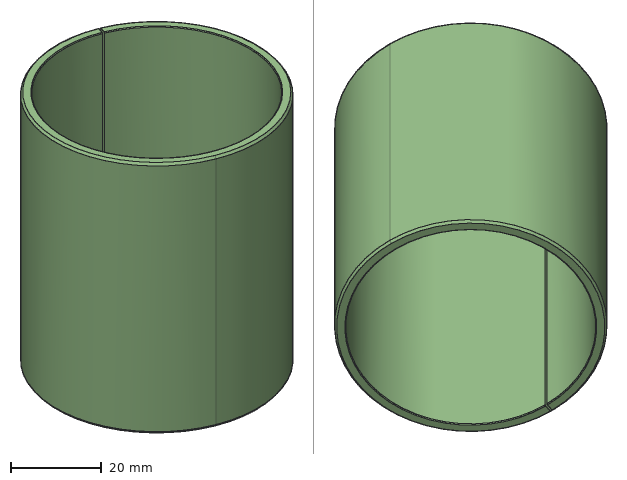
import cadquery as cq

length = 70.0
outer_diameter = 60.0
inner_diameter = 55.0
outer_chamfer_height = 0.6
outer_chamfer_depth = 0.5
inner_chamfer = 0.2
slit_width = 0.5
slit_center_y = slit_width / 2

outer_radius = outer_diameter / 2
inner_radius = inner_diameter / 2
half_length = length / 2


def make_sleeve():
    """Revolve the wall section, with its four chamfered corners, about Z."""
    upper_half = [
        (inner_radius, half_length - inner_chamfer),
        (inner_radius + inner_chamfer, half_length),
        (outer_radius - outer_chamfer_depth, half_length),
        (outer_radius, half_length - outer_chamfer_height),
    ]
    lower_half = [(radius, -height) for radius, height in reversed(upper_half)]
    section = cq.Workplane("XZ").polyline(upper_half + lower_half).close()
    return section.revolve(360, (0, 0, 0), (0, 1, 0))


def make_slit():
    """Full-length cutter through the wall on the -X side."""
    cutter = cq.Workplane("XY").box(outer_radius, slit_width, length, centered=(False, True, True))
    return cutter.translate((-outer_radius, slit_center_y, 0))


result = make_sleeve().cut(make_slit())